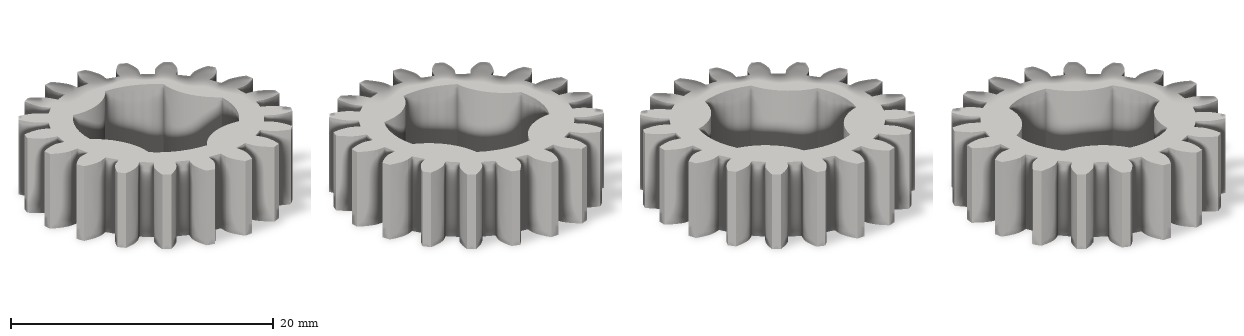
import cadquery as cq
import math

overall_width = 20.97
tooth_count = 19
gear_height = 6.25
pressure_angle = math.radians(20)
addendum_factor = 1.0
dedendum_factor = 1.25

bore_radius = 6.35
lobe_count = 4
lobe_inner_distance = 5.1
lobe_radius = 4.87

flank_segments = 6


def involute(angle):
    """Involute function: tan(angle) - angle."""
    return math.tan(angle) - angle


def polar(radius, angle):
    """Point at a radius and angle from the gear axis."""
    return (radius * math.cos(angle), radius * math.sin(angle))


tooth_pitch = 2 * math.pi / tooth_count
base_half_angle = tooth_pitch / 4 + involute(pressure_angle)
tip_pressure_angle = math.acos(
    tooth_count * math.cos(pressure_angle) / (tooth_count + 2 * addendum_factor)
)
tip_half_angle = base_half_angle - involute(tip_pressure_angle)

corner_offset = tooth_pitch / 4 - tip_half_angle
outer_radius = overall_width / 2 / math.cos(corner_offset)
module = 2 * outer_radius / (tooth_count + 2 * addendum_factor)
pitch_radius = module * tooth_count / 2
base_radius = pitch_radius * math.cos(pressure_angle)
root_radius = pitch_radius - dedendum_factor * module


def half_angle(radius):
    """Half of the angle that a tooth spans at a radius on its involute flank."""
    return base_half_angle - involute(math.acos(base_radius / radius))


def flank_radii():
    """Radii along the involute flank, from the base circle to the tip."""
    step = (outer_radius - base_radius) / flank_segments
    return [base_radius + step * i for i in range(flank_segments + 1)]


def add_tooth(outline, center):
    """Extend the outline over one tooth and the root gap that follows it.

    Tips and roots are flat; below the base circle the flanks are radial.
    """
    rising = [polar(r, center - half_angle(r)) for r in flank_radii()]
    falling = [polar(r, center + half_angle(r)) for r in reversed(flank_radii())]
    next_root = center + tooth_pitch - base_half_angle
    return (
        outline.lineTo(*rising[0])
        .spline(rising[1:], includeCurrent=True)
        .lineTo(*falling[0])
        .spline(falling[1:], includeCurrent=True)
        .lineTo(*polar(root_radius, center + base_half_angle))
        .lineTo(*polar(root_radius, next_root))
    )


def gear_blank():
    """Toothed disc without its bore."""
    outline = cq.Workplane("XY").moveTo(*polar(root_radius, -base_half_angle))
    for i in range(tooth_count):
        outline = add_tooth(outline, i * tooth_pitch)
    return outline.close().extrude(gear_height)


def lobed_bore():
    """Solid that fills the bore: a cylinder less the four lobes."""
    bore = cq.Workplane("XY").circle(bore_radius).extrude(gear_height)
    lobes = (
        cq.Workplane("XY")
        .polarArray(lobe_inner_distance + lobe_radius, 0, 360, lobe_count)
        .circle(lobe_radius)
        .extrude(gear_height, combine=False)
    )
    return bore.cut(lobes)


result = gear_blank().cut(lobed_bore())